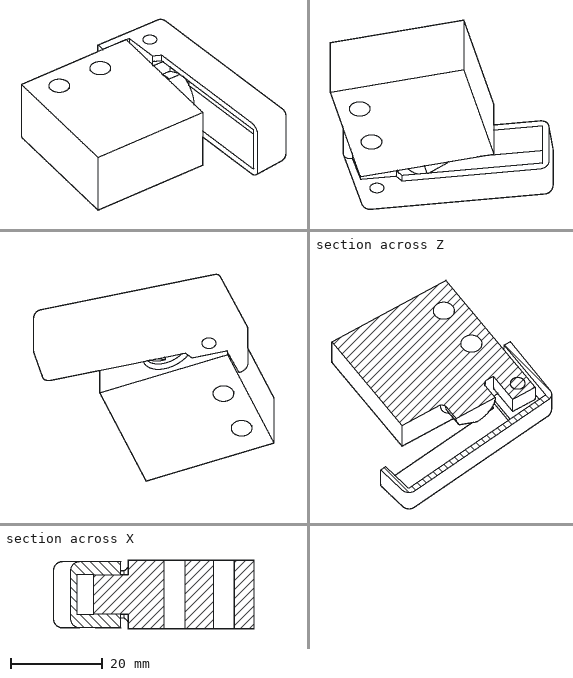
import cadquery as cq
import math

BLOCK_X = 30.0
BLOCK_Y = 27.5
BLOCK_Z = 15.0
MID_Z = BLOCK_Z / 2
HOLE_DIAMETER = 4.5
HOLE_X = 5.0
HOLE_YS = (6.6, 17.4)

STEM_X = 13.98
STEM_RADIUS = 5.15
STEM_LENGTH = 5.0
FOOT_RADIUS = 5.95
FOOT_HEIGHT = 0.45
COLLAR_RADIUS = 5.48
COLLAR_HEIGHT = 0.88
FLAT_DISTANCE = 4.5
FLAT_START = 1.8
FLAT_ANGLE = 27.5

PIN_X = 2.65
PIN_Y = 32.0
PIN_DIAMETER = 3.05
TAB_X = 6.0
TAB_WIDTH = 8.67
TAB_TOP = PIN_Y + PIN_DIAMETER

LEVER_TILT = 6.5
LEVER_BOTTOM = 0.18
LEVER_TOP = 14.68
LEVER_WIDTH = LEVER_TOP - LEVER_BOTTOM
LEFT_X = -2.4
LEFT_LEAN = 0.18
RIGHT_X = 40.55
RIGHT_Y = 34.85
LEAF_END_Y = 21.65
LEAF_END_X = -0.35
LEAF_ROOT_X = -0.18
LEAF_ROOT_Y = 28.48
STEP_X = 7.62
STEP_RUN = 0.85
LEVER_DEPTH = 9.25
CORNER_RADIUS = 2.0
SMALL_RADIUS = 0.45
END_WALL = 1.45
ROOF_WALL = 1.5
CAVITY_WIDTH = 11.15
GROOVE_LEFT_X = -0.65
CUT_MARGIN = 2.2

SLOPE = math.tan(math.radians(LEVER_TILT))
SINE = math.sin(math.radians(LEVER_TILT))
COSINE = math.cos(math.radians(LEVER_TILT))


def underside_y(x):
    """Height of the lever's tilted lower rim."""
    return RIGHT_Y - (RIGHT_X - x) * SLOPE


def roof_y(x, inset=0.0):
    """Height of the lever's tilted back, or of a plane set in from it."""
    return underside_y(x) + (LEVER_DEPTH - inset) / COSINE


def make_housing():
    block = cq.Workplane("XY").box(BLOCK_X, BLOCK_Y, BLOCK_Z, centered=False)
    block = (
        block.faces(">Z").workplane(origin=(0, 0, BLOCK_Z))
        .pushPoints([(HOLE_X, y) for y in HOLE_YS]).hole(HOLE_DIAMETER)
    )
    tab = (
        cq.Workplane("XY").workplane(offset=MID_Z - TAB_WIDTH / 2)
        .rect(TAB_X, TAB_TOP, centered=False).extrude(TAB_WIDTH)
        .cut(cq.Workplane("XY").box(TAB_X, BLOCK_Y, BLOCK_Z, centered=False))
    )
    pin_hole = cq.Workplane("XY").center(PIN_X, PIN_Y).circle(PIN_DIAMETER / 2).extrude(BLOCK_Z)
    return block.union(tab.cut(pin_hole)).union(make_stem())


def make_stem():
    """Stem built along its own local Z axis, then turned to stand along +Y."""
    stem = (
        cq.Workplane("XZ")
        .polyline([
            (0, 0),
            (FOOT_RADIUS, 0),
            (COLLAR_RADIUS, FOOT_HEIGHT),
            (STEM_RADIUS, COLLAR_HEIGHT),
            (STEM_RADIUS, STEM_LENGTH),
            (0, STEM_LENGTH),
        ])
        .close().revolve(360, (0, 0), (0, 1))
    )
    flat_length = STEM_LENGTH - FLAT_START
    for side in (-1, 1):
        flat_cut = (
            cq.Workplane("XY")
            .box(2 * STEM_RADIUS, STEM_RADIUS, flat_length, centered=(True, True, False))
            .translate((0, side * (FLAT_DISTANCE + STEM_RADIUS / 2), FLAT_START))
            .rotate((0, 0, 0), (0, 0, 1), -FLAT_ANGLE)
        )
        stem = stem.cut(flat_cut)
    return stem.rotate((0, 0, 0), (1, 0, 0), -90).translate((STEM_X, BLOCK_Y, MID_Z))


def midpoint(start, end):
    return ((start[0] + end[0]) / 2, (start[1] + end[1]) / 2)


def make_lever_shell():
    """Solid lever with its outer edges rounded."""
    left_top_x = LEFT_X + LEFT_LEAN
    back_right = (RIGHT_X - LEVER_DEPTH * SINE, RIGHT_Y + LEVER_DEPTH * COSINE)
    left_top = (left_top_x, roof_y(left_top_x))
    step_top_x = STEP_X + STEP_RUN
    outline = [
        (LEFT_X, LEAF_END_Y),
        (LEAF_END_X, LEAF_END_Y),
        (LEAF_ROOT_X, LEAF_ROOT_Y),
        (STEP_X, LEAF_ROOT_Y + (STEP_X - LEAF_ROOT_X) * SLOPE),
        (step_top_x, underside_y(step_top_x)),
        (RIGHT_X, RIGHT_Y),
        back_right,
        left_top,
    ]
    shell = (
        cq.Workplane("XY").workplane(offset=LEVER_BOTTOM)
        .polyline(outline).close().extrude(LEVER_WIDTH)
    )

    back = midpoint(back_right, left_top)
    free_end = midpoint(back_right, outline[5])
    left = midpoint(left_top, outline[0])
    rounded_edges = [
        (*back_right, MID_Z),
        (*left_top, MID_Z),
        (*back, LEVER_TOP),
        (*back, LEVER_BOTTOM),
        (*free_end, LEVER_TOP),
        (*free_end, LEVER_BOTTOM),
        (*left, LEVER_BOTTOM),
    ]
    selected = [shell.edges(cq.NearestToPointSelector(point)).val() for point in rounded_edges]
    shell = shell.newObject([shell.val().fillet(CORNER_RADIUS, selected)])

    left_rim = cq.NearestToPointSelector((*left, LEVER_TOP))
    return shell.edges(left_rim).fillet(SMALL_RADIUS)


def prism(points, width):
    """Extrude an outline evenly about the middle plane."""
    return (
        cq.Workplane("XY").workplane(offset=MID_Z - width / 2)
        .polyline(points).close().extrude(width)
    )


def make_cavity():
    """Wide pocket over the stem and a narrower groove that takes the tab."""
    inner_right = RIGHT_X - END_WALL / COSINE
    inner_depth = LEVER_DEPTH - ROOF_WALL
    pocket = prism([
        (STEP_X, underside_y(STEP_X) - CUT_MARGIN),
        (inner_right + CUT_MARGIN * SINE, underside_y(inner_right) - CUT_MARGIN * COSINE),
        (inner_right - inner_depth * SINE, underside_y(inner_right) + inner_depth * COSINE),
        (STEP_X, roof_y(STEP_X, ROOF_WALL)),
    ], CAVITY_WIDTH)
    groove = prism([
        (GROOVE_LEFT_X, LEAF_END_Y - CUT_MARGIN),
        (STEP_X, LEAF_END_Y - CUT_MARGIN),
        (STEP_X, roof_y(STEP_X, ROOF_WALL)),
        (GROOVE_LEFT_X, roof_y(GROOVE_LEFT_X, ROOF_WALL)),
    ], TAB_WIDTH)
    return pocket.union(groove)


def make_pin():
    """Hinge pin flush with both sides of the lever."""
    return (
        cq.Workplane("XY").workplane(offset=LEVER_BOTTOM).center(PIN_X, PIN_Y)
        .circle(PIN_DIAMETER / 2).extrude(LEVER_WIDTH)
    )


housing = make_housing()
pin = make_pin()
lever = make_lever_shell().cut(make_cavity()).cut(pin)
result = cq.Compound.makeCompound([housing.val(), lever.val(), pin.val()])